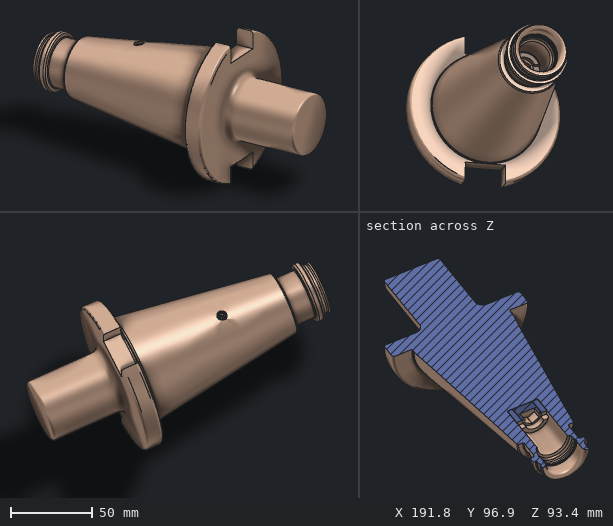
import cadquery as cq
import math

length = 191.8

nose_radius = 17.0
nose_chamfer = 0.8
groove_radius = 16.5
groove_start = 1.3
groove_floor_start = 2.5
groove_floor_end = 3.6
groove_end = 5.4
collar_radius = 19.4
collar_start = 7.3
collar_end = 11.3
collar_chamfer_length = 1.3
collar_chamfer_depth = 0.5
shoulder_chamfer = 0.5
neck_radius = 16.0

taper_rate = 7 / 24
taper_start = 25.0
taper_end = 127.2
taper_large_radius = 35.0
relief_radius = 34.5
relief_floor = 128.3
relief_end = 128.9
taper_edge_length = 1.0
taper_edge_depth = 0.5

flange_diameter = 96.9
flange_radius = flange_diameter / 2
flange_start = 130.0
flange_end = 142.0
flange_edge = 2.0
drive_slot_width = 25.7
drive_slot_floor = taper_large_radius

shank_radius = 20.0
shank_root_fillet = 5.0
shank_edge = 2.0

mouth_fillet = 3.0
mouth_radius = 13.0
inner_groove_radius = 13.5
inner_groove_start = 9.8
inner_groove_end = 11.0
mouth_end = 12.0
step_radius = 12.7
step_start = 13.0
step_end = 14.5
throat_radius = 11.9
throat_start = 16.1
bore_radius = 10.5
bore_start = 17.0

ring_start = 38.4
ring_length = 15.3
ring_hole_radius = 6.7
ring_edge = 1.0
ring_slot_width = 5.2
ring_slot_depth = 3.8
screw_radius = ring_hole_radius
screw_start = ring_start + ring_slot_depth
screw_socket_flats = 10.0
screw_socket_depth = 5.8
bore_end = ring_start + ring_length

grub_x = 67.3
grub_radius = 2.5
grub_hole_mouth_radius = 3.0
grub_length = 9.5
grub_edge = 0.5
grub_recess = 2.0
grub_socket_flats = 2.1
grub_socket_depth = 2.9


def taper_radius(x):
    """Radius of the steep taper at position x."""
    return taper_large_radius - (taper_end - x) * taper_rate / 2


grub_top = taper_radius(grub_x) - grub_recess
grub_bottom = grub_top - grub_length


def revolve_about_x(profile):
    """Solid made by turning a closed half section about the tool axis."""
    return profile.close().revolve(360, (0, 0, 0), (1, 0, 0))


def hexagon_diameter(flats):
    """Diameter across the corners of a hexagon with the given width across flats."""
    return flats / math.cos(math.radians(30))


def outer_form():
    """Solid of the tail, taper, flange and shank, before any holes."""
    taper_edge_end = taper_start + taper_edge_length
    fillet_end = flange_end + shank_root_fillet
    fillet_top = shank_radius + shank_root_fillet
    arc_offset = shank_root_fillet * (1 - math.sqrt(0.5))
    profile = (
        cq.Workplane("XZ")
        .moveTo(0, 0)
        .lineTo(0, nose_radius - nose_chamfer)
        .lineTo(nose_chamfer, nose_radius)
        .lineTo(groove_start, nose_radius)
        .lineTo(groove_floor_start, groove_radius)
        .lineTo(groove_floor_end, groove_radius)
        .lineTo(groove_end, nose_radius)
        .lineTo(collar_start - shoulder_chamfer, nose_radius)
        .lineTo(collar_start, nose_radius + shoulder_chamfer)
        .lineTo(collar_start, collar_radius)
        .lineTo(collar_end - collar_chamfer_length, collar_radius)
        .lineTo(collar_end, collar_radius - collar_chamfer_depth)
        .lineTo(collar_end, neck_radius + shoulder_chamfer)
        .lineTo(collar_end + shoulder_chamfer, neck_radius)
        .lineTo(taper_start - shoulder_chamfer, neck_radius)
        .lineTo(taper_start, neck_radius + shoulder_chamfer)
        .lineTo(taper_start, taper_radius(taper_start) - taper_edge_depth)
        .lineTo(taper_edge_end, taper_radius(taper_edge_end))
        .lineTo(taper_end, taper_large_radius)
        .lineTo(relief_floor, relief_radius)
        .lineTo(relief_end, taper_large_radius)
        .lineTo(flange_start, taper_large_radius)
        .lineTo(flange_start, flange_radius - flange_edge)
        .radiusArc((flange_start + flange_edge, flange_radius), flange_edge)
        .lineTo(flange_end - flange_edge, flange_radius)
        .radiusArc((flange_end, flange_radius - flange_edge), flange_edge)
        .lineTo(flange_end, fillet_top)
        .threePointArc((flange_end + arc_offset, shank_radius + arc_offset), (fillet_end, shank_radius))
        .lineTo(length - shank_edge, shank_radius)
        .radiusArc((length, shank_radius - shank_edge), shank_edge)
        .lineTo(length, 0)
    )
    return revolve_about_x(profile)


def tail_bore():
    """Stepped bore from the rounded mouth to the blind end behind the lock ring."""
    arc_offset = mouth_fillet * (1 - math.sqrt(0.5))
    rounding_length = throat_start - step_end
    rounding_drop = step_radius - throat_radius
    rounding_radius = (rounding_length**2 + rounding_drop**2) / (2 * rounding_drop)
    profile = (
        cq.Workplane("XZ")
        .moveTo(0, 0)
        .lineTo(0, mouth_radius + mouth_fillet)
        .threePointArc((arc_offset, mouth_radius + arc_offset), (mouth_fillet, mouth_radius))
        .lineTo(inner_groove_start, mouth_radius)
        .lineTo(inner_groove_start, inner_groove_radius)
        .lineTo(inner_groove_end, inner_groove_radius)
        .lineTo(inner_groove_end, mouth_radius)
        .lineTo(mouth_end, mouth_radius)
        .lineTo(step_start, step_radius)
        .lineTo(step_end, step_radius)
        .radiusArc((throat_start, throat_radius), -rounding_radius)
        .lineTo(bore_start, bore_radius)
        .lineTo(bore_end, bore_radius)
        .lineTo(bore_end, 0)
    )
    return revolve_about_x(profile)


def drive_slots():
    """Two opposite slots across the flange, open at the rim."""
    slots = cq.Workplane("XY")
    depth = flange_radius - drive_slot_floor
    for side in (1, -1):
        middle = ((flange_start + flange_end) / 2, 0, side * (drive_slot_floor + depth / 2))
        slot = cq.Workplane("XY").box(flange_end - flange_start, drive_slot_width, depth)
        slots = slots.add(slot.translate(middle))
    return slots.combine()


def grub_hole():
    """Blind hole that fits the grub screw, with a wider mouth open to the taper surface."""
    hole = cq.Workplane("XY", origin=(grub_x, 0, grub_bottom)).circle(grub_radius).extrude(grub_length)
    mouth = (
        cq.Workplane("XY", origin=(grub_x, 0, grub_top))
        .circle(grub_hole_mouth_radius)
        .extrude(taper_large_radius - grub_top)
    )
    return hole.union(mouth)


def make_holder():
    return outer_form().cut(tail_bore()).cut(drive_slots()).cut(grub_hole())


def make_lock_ring():
    ring = (
        cq.Workplane("YZ", origin=(ring_start, 0, 0))
        .circle(bore_radius)
        .extrude(ring_length)
        .faces("<X")
        .chamfer(ring_edge)
    )
    hole = cq.Workplane("YZ", origin=(ring_start, 0, 0)).circle(ring_hole_radius).extrude(ring_length)
    slot = (
        cq.Workplane("YZ", origin=(ring_start, 0, 0))
        .rect(2 * bore_radius, ring_slot_width)
        .extrude(ring_slot_depth)
    )
    return ring.cut(hole).cut(slot)


def make_socket_screw():
    screw = (
        cq.Workplane("YZ", origin=(screw_start, 0, 0))
        .circle(screw_radius)
        .extrude(bore_end - screw_start)
    )
    socket = (
        cq.Workplane("YZ", origin=(screw_start, 0, 0))
        .transformed(rotate=(0, 0, 90))
        .polygon(6, hexagon_diameter(screw_socket_flats))
        .extrude(screw_socket_depth)
    )
    return screw.cut(socket)


def make_grub_screw():
    screw = (
        cq.Workplane("XY", origin=(grub_x, 0, grub_bottom))
        .circle(grub_radius)
        .extrude(grub_length)
        .faces(">Z")
        .chamfer(grub_edge)
    )
    socket = (
        cq.Workplane("XY", origin=(grub_x, 0, grub_top))
        .transformed(rotate=(0, 0, 90))
        .polygon(6, hexagon_diameter(grub_socket_flats))
        .extrude(-grub_socket_depth)
    )
    return screw.cut(socket)


holder = make_holder()
lock_ring = make_lock_ring()
socket_screw = make_socket_screw()
grub_screw = make_grub_screw()

result = cq.Compound.makeCompound(
    [holder.val(), lock_ring.val(), socket_screw.val(), grub_screw.val()]
)